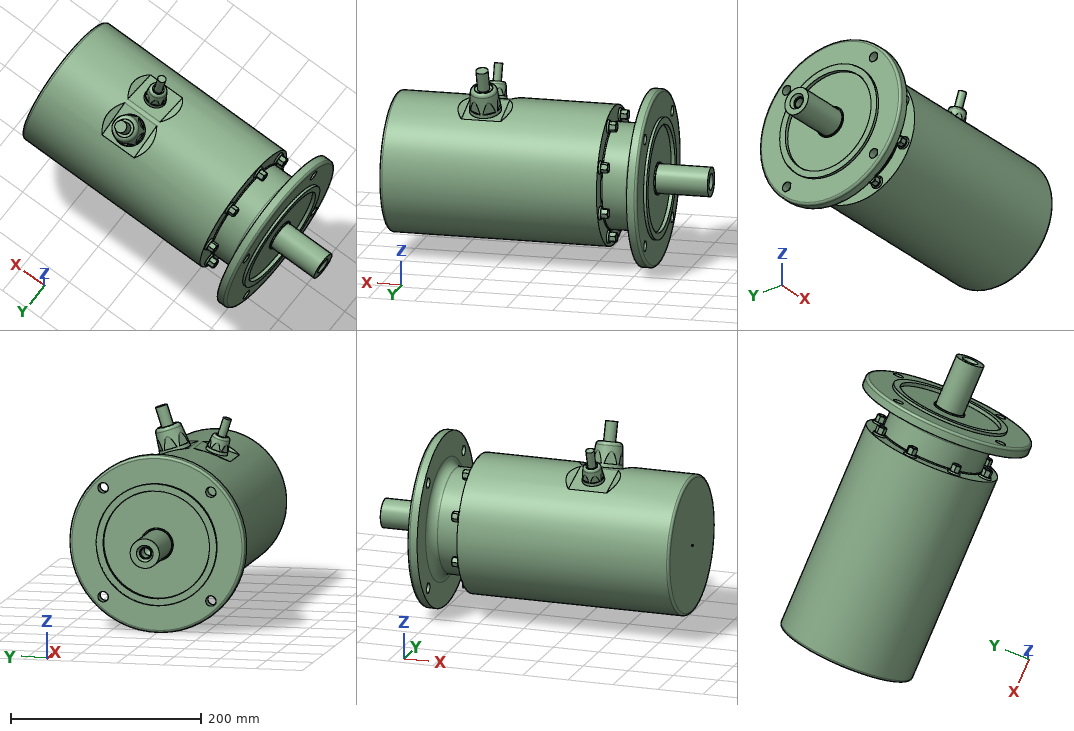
import cadquery as cq
import math

OVERALL_LENGTH = 342.0

SHAFT_DIA = 31.5
SHAFT_COLLAR_DIA = 35.0
SHAFT_COLLAR_BORE = 32.0
SHAFT_COLLAR_HEIGHT = 1.5

CENTER_MOUTH_DIA = 17.8
CENTER_CONE_DEPTH = 3.5
CENTER_BORE_DIA = 13.0
CENTER_BORE_DEPTH = 4.8
CENTER_PILOT_DIA = 10.5
CENTER_PILOT_DEPTH = 20.5

SPIGOT_X = 53.7
SPIGOT_DIA = 130.0
SPIGOT_RECESS_DIA = 115.0
SPIGOT_RECESS_DEPTH = 4.0

FLANGE_FRONT_X = 56.8
FLANGE_BACK_X = 67.7
FLANGE_DIA = 189.0
FLANGE_FILLET = 2.7
FLANGE_HOLE_DIA = 11.0
FLANGE_HOLE_SPACING = 116.3

NECK_DIA = 114.0
NECK_FILLET = 10.0
NECK_COLLAR_DIA = 115.0
NECK_COLLAR_X = 104.0

HOUSING_X = 105.5
HOUSING_DIA = 150.0
HOUSING_END_X = 341.0
HOUSING_FILLET = 2.7
REAR_STUB_DIA = 2.0

BOLT_COUNT = 8
BOLT_CIRCLE_DIA = 130.3
BOLT_HEX_CORNERS = 11.0
BOLT_FACE_DIA = 9.0
BOLT_FACE_X = 95.8
BOLT_CHAMFER_LENGTH = 1.0
BOLT_WASHER_X = 103.3
BOLT_WASHER_FRONT_DIA = 13.0
BOLT_WASHER_BACK_DIA = 14.5

PAD_X = 239.0
PAD_TILT = 18.0
PAD_LENGTH = 42.5
PAD_HALF_ANGLE = 16.0
PAD_RAMP_ANGLE = 21.0
PAD_HEIGHT = HOUSING_DIA / 2 * math.cos(math.radians(PAD_HALF_ANGLE))

MOUTH_DEPTH = 1.0
DRILL_POINT_ANGLE = 59.0


def cylinder_x(x_start, x_end, diameter):
    """A cylinder about the X axis."""
    return cq.Workplane("YZ", origin=(x_start, 0, 0)).circle(diameter / 2).extrude(x_end - x_start)


def motor_profile():
    """The turned outline, revolved about X."""
    neck_r = NECK_DIA / 2
    fillet_end_x = FLANGE_BACK_X + NECK_FILLET
    fillet_reach = NECK_FILLET * (1 - math.sqrt(0.5))
    fillet_middle = (FLANGE_BACK_X + fillet_reach, neck_r + fillet_reach)
    outline = (
        cq.Workplane("XY")
        .moveTo(SPIGOT_X, 0)
        .lineTo(SPIGOT_X, SPIGOT_DIA / 2)
        .lineTo(FLANGE_FRONT_X, SPIGOT_DIA / 2)
        .lineTo(FLANGE_FRONT_X, FLANGE_DIA / 2 - FLANGE_FILLET)
        .radiusArc((FLANGE_FRONT_X + FLANGE_FILLET, FLANGE_DIA / 2), FLANGE_FILLET)
        .lineTo(FLANGE_BACK_X, FLANGE_DIA / 2)
        .lineTo(FLANGE_BACK_X, neck_r + NECK_FILLET)
        .threePointArc(fillet_middle, (fillet_end_x, neck_r))
        .lineTo(NECK_COLLAR_X, neck_r)
        .lineTo(NECK_COLLAR_X, NECK_COLLAR_DIA / 2)
        .lineTo(HOUSING_X, NECK_COLLAR_DIA / 2)
        .lineTo(HOUSING_X, HOUSING_DIA / 2)
        .lineTo(HOUSING_END_X - HOUSING_FILLET, HOUSING_DIA / 2)
        .radiusArc((HOUSING_END_X, HOUSING_DIA / 2 - HOUSING_FILLET), HOUSING_FILLET)
        .lineTo(HOUSING_END_X, 0)
        .close()
    )
    return outline.revolve(360, (0, 0, 0), (1, 0, 0))


def shaft_center_hole():
    """Countersunk, stepped centre hole with a drill-point bottom."""
    point_length = CENTER_PILOT_DIA / 2 / math.tan(math.radians(DRILL_POINT_ANGLE))
    outline = (
        cq.Workplane("XY")
        .moveTo(0, 0)
        .lineTo(0, CENTER_MOUTH_DIA / 2)
        .lineTo(CENTER_CONE_DEPTH, CENTER_BORE_DIA / 2)
        .lineTo(CENTER_BORE_DEPTH, CENTER_BORE_DIA / 2)
        .lineTo(CENTER_BORE_DEPTH, CENTER_PILOT_DIA / 2)
        .lineTo(CENTER_PILOT_DEPTH, CENTER_PILOT_DIA / 2)
        .lineTo(CENTER_PILOT_DEPTH + point_length, 0)
        .close()
    )
    return outline.revolve(360, (0, 0, 0), (1, 0, 0))


def cone_x(x_start, x_end, start_dia, end_dia):
    """A cone frustum about the X axis."""
    return (
        cq.Workplane("YZ", origin=(x_start, 0, 0))
        .circle(start_dia / 2)
        .workplane(offset=x_end - x_start)
        .circle(end_dia / 2)
        .loft()
    )


def flange_bolt():
    """Chamfered hex head on a conical washer, on the +Z side of the bolt circle."""
    washer = cone_x(BOLT_WASHER_X, HOUSING_X, BOLT_WASHER_FRONT_DIA, BOLT_WASHER_BACK_DIA)
    hexagon = (
        cq.Workplane("YZ", origin=(BOLT_FACE_X, 0, 0))
        .polygon(6, BOLT_HEX_CORNERS)
        .extrude(BOLT_WASHER_X - BOLT_FACE_X)
    )
    chamfer_end_x = BOLT_FACE_X + BOLT_CHAMFER_LENGTH
    envelope = cone_x(BOLT_FACE_X, chamfer_end_x, BOLT_FACE_DIA, BOLT_HEX_CORNERS).union(
        cylinder_x(chamfer_end_x, BOLT_WASHER_X, BOLT_HEX_CORNERS)
    )
    bolt = washer.union(hexagon.intersect(envelope))
    return bolt.translate((0, 0, BOLT_CIRCLE_DIA / 2))


def pad_cutter(tilt):
    """Wedge-ended block that cuts one flat pad into the housing, tilted about X."""
    block_height = HOUSING_DIA / 2
    half_bottom = PAD_LENGTH / 2
    half_top = half_bottom + block_height / math.tan(math.radians(PAD_RAMP_ANGLE))
    block = (
        cq.Workplane("XZ", origin=(PAD_X, 0, PAD_HEIGHT))
        .polyline([
            (-half_bottom, 0),
            (half_bottom, 0),
            (half_top, block_height),
            (-half_top, block_height),
        ])
        .close()
        .extrude(HOUSING_DIA / 2, both=True)
    )
    return block.rotate((0, 0, 0), (1, 0, 0), tilt)


def make_motor():
    body = motor_profile()

    recess_floor_x = SPIGOT_X + SPIGOT_RECESS_DEPTH
    collar_front_x = recess_floor_x - SHAFT_COLLAR_HEIGHT
    collar = cylinder_x(collar_front_x, recess_floor_x, SHAFT_COLLAR_DIA).cut(
        cylinder_x(collar_front_x, recess_floor_x, SHAFT_COLLAR_BORE)
    )
    body = body.cut(cylinder_x(SPIGOT_X, recess_floor_x, SPIGOT_RECESS_DIA)).union(collar)

    body = body.union(cylinder_x(0, recess_floor_x, SHAFT_DIA)).cut(shaft_center_hole())

    holes = (
        cq.Workplane("YZ", origin=(FLANGE_FRONT_X, 0, 0))
        .rect(FLANGE_HOLE_SPACING, FLANGE_HOLE_SPACING, forConstruction=True)
        .vertices()
        .circle(FLANGE_HOLE_DIA / 2)
        .extrude(FLANGE_BACK_X - FLANGE_FRONT_X)
    )
    body = body.cut(holes)

    for tilt in (-PAD_TILT, PAD_TILT):
        body = body.cut(pad_cutter(tilt))

    bolt_step = 360 / BOLT_COUNT
    for index in range(BOLT_COUNT):
        body = body.union(flange_bolt().rotate((0, 0, 0), (1, 0, 0), (index + 0.5) * bolt_step))

    return body.union(cylinder_x(HOUSING_END_X, OVERALL_LENGTH, REAR_STUB_DIA))


def make_gland(base_dia, top_dia, height, top_fillet, flats, collar_height, mouth_dia, cable_dia,
               cable_height, tilt):
    """Tapered nut with six flats above a plain collar, and its cable; heights are above the pad."""
    cone = (
        cq.Workplane("XY")
        .circle(base_dia / 2)
        .workplane(offset=height)
        .circle(top_dia / 2)
        .loft()
        .faces(">Z")
        .edges()
        .fillet(top_fillet)
    )
    collar = cq.Workplane("XY").circle(base_dia / 2).extrude(collar_height)
    hexagon = (
        cq.Workplane("XY")
        .polygon(6, flats, circumscribed=True)
        .extrude(height)
    )
    nut = cone.intersect(collar.union(hexagon))
    mouth = (
        cq.Workplane("XY", origin=(0, 0, height - MOUTH_DEPTH))
        .circle(mouth_dia / 2)
        .extrude(MOUTH_DEPTH)
    )
    cable = cq.Workplane("XY").circle(cable_dia / 2).extrude(cable_height)
    gland = nut.cut(mouth).union(cable)
    return gland.translate((PAD_X, 0, PAD_HEIGHT)).rotate((0, 0, 0), (1, 0, 0), tilt)


motor = make_motor()

large_gland = make_gland(
    base_dia=34.2,
    top_dia=27.7,
    height=27.5,
    top_fillet=4.5,
    flats=30.0,
    collar_height=4.0,
    mouth_dia=19.5,
    cable_dia=13.0,
    cable_height=49.0,
    tilt=-PAD_TILT,
)

small_gland = make_gland(
    base_dia=24.0,
    top_dia=18.5,
    height=18.5,
    top_fillet=3.5,
    flats=20.5,
    collar_height=3.5,
    mouth_dia=12.3,
    cable_dia=9.0,
    cable_height=37.5,
    tilt=PAD_TILT,
)

result = cq.Compound.makeCompound([motor.val(), large_gland.val(), small_gland.val()])